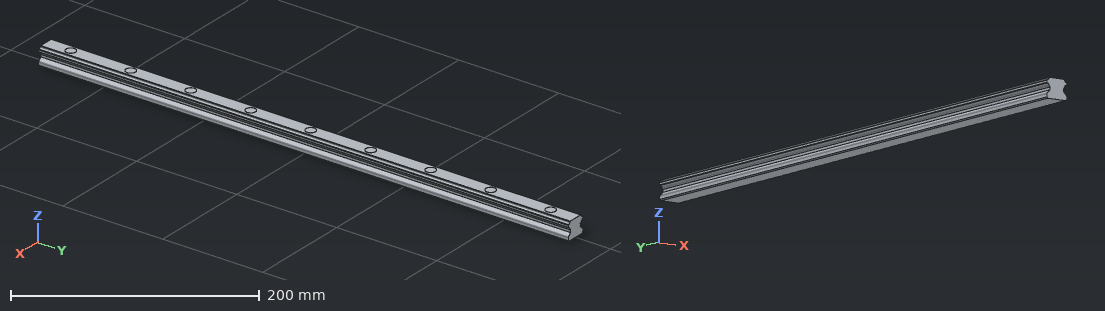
import math

import cadquery as cq

length = 530.0
width = 20.0
height = 17.5

half_width = width / 2
top_half_width = 7.23
head_middle = 13.86
ridge_half_height = 0.89
lip_width = 0.57
lip_height = 0.44
groove_radius = 2.07
groove_inner_half_width = 7.95
groove_inner_offset = 2.58
flank_half_width = 7.69
flank_offset = 3.3

neck_half_width = 6.9
neck_top = 9.44
neck_bottom = 7.17
foot_slope = math.radians(45)
foot_corner_radius = 1.0
foot_chamfer = 1.0

hole_count = 9
hole_pitch = 60.0
hole_diameter = 9.5
recess_depth = 0.1


def half_section():
    """Right half of the rail section, from the middle of the underside up to the top."""
    slope_end_x = half_width - foot_corner_radius * (1 - math.cos(foot_slope))
    slope_end_z = neck_bottom - (slope_end_x - neck_half_width) * math.tan(foot_slope)
    foot_side_top = slope_end_z - foot_corner_radius * math.sin(foot_slope)
    lip_half_width = half_width - lip_width
    lip_offset = ridge_half_height + lip_height
    return (
        cq.Workplane("XZ")
        .lineTo(half_width - foot_chamfer, 0)
        .lineTo(half_width, foot_chamfer)
        .lineTo(half_width, foot_side_top)
        .radiusArc((slope_end_x, slope_end_z), -foot_corner_radius)
        .lineTo(neck_half_width, neck_bottom)
        .lineTo(neck_half_width, neck_top)
        .lineTo(flank_half_width, head_middle - flank_offset)
        .lineTo(groove_inner_half_width, head_middle - groove_inner_offset)
        .radiusArc((lip_half_width, head_middle - lip_offset), groove_radius)
        .lineTo(half_width, head_middle - ridge_half_height)
        .lineTo(half_width, head_middle + ridge_half_height)
        .lineTo(lip_half_width, head_middle + lip_offset)
        .radiusArc((groove_inner_half_width, head_middle + groove_inner_offset), groove_radius)
        .lineTo(flank_half_width, head_middle + flank_offset)
        .lineTo(top_half_width, height)
        .lineTo(0, height)
    )


def rail_body():
    """Full section, mirrored about the rail's middle plane, extended along Y."""
    return half_section().mirrorY().extrude(length / 2, both=True)


def hole_cutters():
    """Discs spaced evenly along the top face."""
    return (
        cq.Workplane("XY", origin=(0, 0, height))
        .rarray(1, hole_pitch, 1, hole_count)
        .circle(hole_diameter / 2)
        .extrude(-recess_depth)
    )


result = rail_body().cut(hole_cutters())